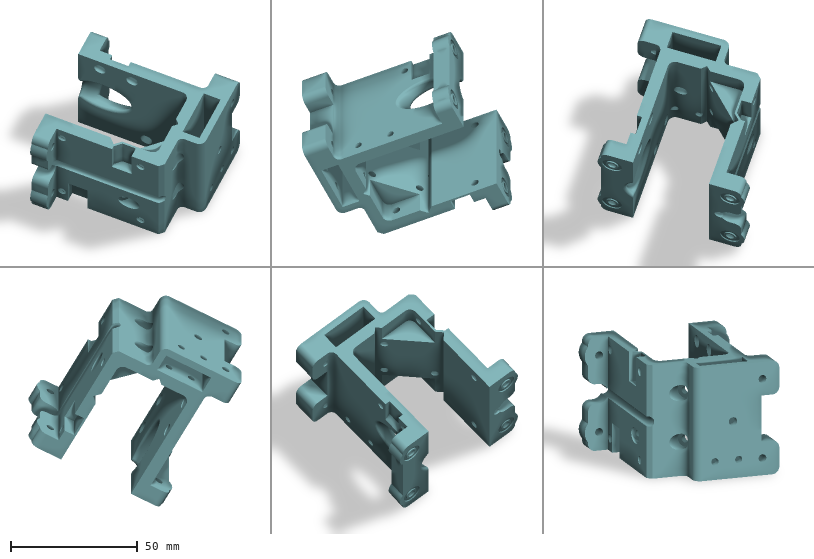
import cadquery as cq
import math


length = 63.2
height = 46.5
z_top = height / 2
wall_outer_y = 20.7
wall_inner_y = 15.75
wall_thickness = wall_outer_y - wall_inner_y
end_inner_x = 48.1
end_outer_x = 53.0
cavity_radius = 3.0
corner_chamfer = 1.9

flange_thickness = 7.0
flange_edge_y = 29.1
boss_y = 24.45
boss_z = 15.75
boss_radius = 6.0
edge_radius = 3.0
screw_diameter = 3.3
ring_inner_diameter = 5.0
ring_outer_diameter = 8.1
ring_depth = 0.5

box_low_y = -4.6
ear_y = 30.8
box_slot_low_y = -1.6
box_slot_high_y = 18.7
box_slot_end_x = 60.3
ear_fillet = 2.45
box_fillet = 2.0
ear_gap_floor_y = wall_outer_y + ear_fillet
ear_gap_half = 9.5
ear_hole_diameter = 3.2
ear_hole_y = 23.7
ear_hole_z = 16.25

seat_offset = 48.9
seat_groove_low_y = -18.25
seat_groove_high_y = 1.1
seat_bottom_z = -13.15
seat_top_z = 14.7
seat_hole_diameter = 3.2
seat_bore_diameter = 6.5
seat_hole_half_pitch = 10.0
seat_bore_start = 3.15

groove_y = -20.15
groove_radius = 2.1
slot_half_width = 4.05
slot_end_y = -24.7

pocket_width = 8.4
pocket_depth = 4.2
pocket_height = 12.1
upper_pocket_x = 31.1
upper_pocket_chamfer = 2.6
lower_pocket_x = 11.95

notch_start_x = 12.45
notch_end_x = 20.5
notch_depth = 2.15
notch_height = 12.1

front_hole_diameter = 3.2
wall_hole_x = (9.4, 43.4)
front_hole_z = (18.25, -18.0)
front_bore_diameter = 3.5
front_bore_depth = 1.25
back_hole_pitch = 13.9
back_hole_z = 18.25
back_hole_diameter = 3.0
back_bore_diameter = 5.0
back_bore_depth = 3.8

end_hole_y = 11.3
end_hole_diameter = 3.5
end_bore_diameter = 5.5
end_bore_depth = 3.8
end_pin_diameter = 3.0
end_pin_z = -15.8
end_pin_y = (3.7, 13.7)

window_diameter = 15.0
window_angle = 40.0
window_axis_y = 7.95
window_fillet = 1.0


def block(x0, x1, y0, y1, z0=-z_top, z1=z_top):
    """Axis-aligned block between two corners."""
    solid = cq.Workplane("XY").box(x1 - x0, y1 - y0, z1 - z0, centered=False)
    return solid.translate((x0, y0, z0))


def rod(start, direction, diameter, rod_length):
    """Cylinder from a start point along a direction."""
    return cq.Workplane(
        cq.Solid.makeCylinder(diameter / 2, rod_length, cq.Vector(*start), cq.Vector(*direction))
    )


def prism(points, z0=-z_top, z1=z_top):
    """Vertical prism over a polygon in XY."""
    return cq.Workplane("XY").workplane(offset=z0).polyline(points).close().extrude(z1 - z0)


def near(body, x, y, z=0.0):
    """Edge of the body nearest to a point."""
    return body.edges(cq.selectors.NearestToPointSelector((x, y, z)))


def flange(side):
    """Flange plate with two round bosses; side is +1 for the back, -1 for the front."""
    low_y, high_y = sorted((0, side * flange_edge_y))
    plate = block(0, flange_thickness, low_y, high_y)
    for z in (-z_top, z_top):
        plate = near(plate, flange_thickness / 2, side * flange_edge_y, z).fillet(edge_radius)
    for z in (-boss_z, boss_z):
        plate = plate.union(rod((0, side * boss_y, z), (1, 0, 0), 2 * boss_radius, flange_thickness))
    return plate


def flange_slot():
    """Round-ended slot from the front flange edge, with rounded mouth corners."""
    mouth_y = -flange_edge_y
    half_mouth = slot_half_width + edge_radius
    tip_y = slot_end_y + slot_half_width
    return (
        cq.Workplane("YZ")
        .moveTo(mouth_y, half_mouth)
        .radiusArc((mouth_y + edge_radius, slot_half_width), -edge_radius)
        .lineTo(slot_end_y, slot_half_width)
        .threePointArc((tip_y, 0), (slot_end_y, -slot_half_width))
        .lineTo(mouth_y + edge_radius, -slot_half_width)
        .radiusArc((mouth_y, -half_mouth), -edge_radius)
        .close()
        .extrude(flange_thickness)
    )


def tail_box():
    """Box behind the end wall, reaching past the back wall on its +Y side."""
    box = block(end_inner_x, length, box_low_y, ear_y)
    box = box.cut(block(0, end_outer_x, wall_outer_y, ear_y))
    return near(box, length, box_low_y).fillet(edge_radius)


def split_ears(solid):
    """Part the +Y side of the box into two ears with rounded corners."""
    solid = solid.cut(block(end_outer_x, length, ear_gap_floor_y, ear_y, -ear_gap_half, ear_gap_half))
    middle_x = (end_outer_x + length) / 2
    for z in (-z_top, -ear_gap_half, ear_gap_half, z_top):
        solid = near(solid, middle_x, ear_y, z).fillet(edge_radius)
    return solid


body = block(0, end_outer_x, -wall_outer_y, wall_outer_y)
body = near(body, end_outer_x, -wall_outer_y).chamfer(corner_chamfer)
body = body.union(tail_box())
body = near(body, end_outer_x, box_low_y).fillet(box_fillet)
body = near(body, end_outer_x, wall_outer_y).fillet(ear_fillet)
body = split_ears(body)
body = body.cut(block(end_outer_x, box_slot_end_x, box_slot_low_y, box_slot_high_y))
for side in (-1, 1):
    body = body.union(flange(side))

cavity = block(0, end_inner_x, -wall_inner_y, wall_inner_y)
cavity = cavity.edges("|Z and >X").fillet(cavity_radius)
body = body.cut(cavity)

seat_solid = prism([
    (seat_offset - wall_inner_y, -wall_inner_y),
    (end_inner_x, -wall_inner_y),
    (end_inner_x, end_inner_x - seat_offset),
], seat_bottom_z, seat_top_z)
body = body.union(seat_solid)
groove_low_x = seat_offset + seat_groove_low_y
groove_high_x = seat_offset + seat_groove_high_y
low_depth = -wall_inner_y - seat_groove_low_y
high_depth = groove_high_x - end_inner_x
body = body.cut(prism([
    (groove_low_x, seat_groove_low_y),
    (groove_low_x + low_depth, -wall_inner_y),
    (groove_low_x - low_depth, -wall_inner_y),
]))
body = body.cut(prism([
    (groove_high_x, seat_groove_high_y),
    (end_inner_x, seat_groove_high_y + high_depth),
    (end_inner_x, seat_groove_high_y - high_depth),
]))

body = body.cut(rod((0, groove_y, 0), (1, 0, 0), 2 * groove_radius, end_outer_x))
body = body.cut(flange_slot())

pocket_floor_y = pocket_depth - wall_outer_y
upper_pocket_end_x = upper_pocket_x + pocket_width
body = body.cut(prism([
    (upper_pocket_x, -wall_outer_y),
    (upper_pocket_end_x, -wall_outer_y),
    (upper_pocket_end_x, pocket_floor_y),
    (upper_pocket_x + upper_pocket_chamfer, pocket_floor_y),
    (upper_pocket_x, pocket_floor_y - upper_pocket_chamfer),
], z_top - pocket_height, z_top))
body = body.cut(block(
    lower_pocket_x, lower_pocket_x + pocket_width,
    -wall_outer_y, pocket_floor_y, -z_top, pocket_height - z_top,
))

notch_floor_y = wall_outer_y - notch_depth
notch_low_z = z_top - notch_height
notch = (
    cq.Workplane("YZ")
    .workplane(offset=notch_start_x)
    .polyline([
        (wall_outer_y, z_top),
        (notch_floor_y, z_top),
        (notch_floor_y, notch_low_z + notch_depth),
        (wall_outer_y, notch_low_z),
    ])
    .close()
    .extrude(notch_end_x - notch_start_x)
)
body = body.cut(notch)

angle = math.radians(window_angle)
window_direction = (math.cos(angle), math.sin(angle), 0)
window_start = (-length * math.cos(angle), window_axis_y - length * math.sin(angle), 0)
window = rod(window_start, window_direction, window_diameter, 2 * length)
window = window.intersect(block(-length, length, 0, length))
body = body.cut(window)
rim_low = (-0.65, wall_inner_y - 0.65, -window_diameter)
rim_high = (length / 2, flange_edge_y, window_diameter)
rims = cq.selectors.BoxSelector(rim_low, rim_high, boundingbox=True)
body = body.edges(rims).edges("%ELLIPSE").fillet(window_fillet)

for y in (-boss_y, boss_y):
    for z in (-boss_z, boss_z):
        ring = rod((0, y, z), (1, 0, 0), ring_outer_diameter, ring_depth)
        ring = ring.cut(rod((0, y, z), (1, 0, 0), ring_inner_diameter, ring_depth))
        body = body.cut(ring)
        body = body.cut(rod((0, y, z), (1, 0, 0), screw_diameter, flange_thickness))

for z in (-ear_hole_z, ear_hole_z):
    body = body.cut(rod((end_outer_x, ear_hole_y, z), (1, 0, 0), ear_hole_diameter, length - end_outer_x))

for x in wall_hole_x:
    for z in front_hole_z:
        start = (x, -wall_outer_y, z)
        body = body.cut(rod(start, (0, 1, 0), front_hole_diameter, wall_thickness))
        body = body.cut(rod(start, (0, 1, 0), front_bore_diameter, front_bore_depth))

first_x, last_x = wall_hole_x
for x, z in (
    (first_x, back_hole_z),
    (first_x + back_hole_pitch, back_hole_z),
    (last_x - back_hole_pitch, -back_hole_z),
    (last_x, -back_hole_z),
):
    body = body.cut(rod((x, wall_inner_y, z), (0, 1, 0), back_hole_diameter, wall_thickness))
    body = body.cut(rod((x, wall_inner_y, z), (0, 1, 0), back_bore_diameter, back_bore_depth))

end_reach = length - end_inner_x
body = body.cut(rod((end_inner_x, end_hole_y, 0), (1, 0, 0), end_hole_diameter, end_reach))
end_bore_x = end_inner_x - cavity_radius
body = body.cut(rod((end_bore_x, end_hole_y, 0), (1, 0, 0), end_bore_diameter, cavity_radius + end_bore_depth))
for y in end_pin_y:
    body = body.cut(rod((end_bore_x, y, end_pin_z), (1, 0, 0), end_pin_diameter, length - end_bore_x))

seat_direction = (1, -1, 0)
seat_mid_y = (seat_groove_low_y + seat_groove_high_y) / 2
seat_mid_z = (seat_bottom_z + seat_top_z) / 2
seat_step = seat_hole_half_pitch / math.sqrt(2)
for along, up in ((1, 1), (1, -1), (-1, -1)):
    y = seat_mid_y + along * seat_step
    z = seat_mid_z + up * seat_hole_half_pitch
    sink = seat_bore_start / math.sqrt(2)
    bore_start = (seat_offset + y + sink, y - sink, z)
    body = body.cut(rod((seat_offset + y, y, z), seat_direction, seat_hole_diameter, 2 * seat_bore_start))
    body = body.cut(rod(bore_start, seat_direction, seat_bore_diameter, wall_outer_y))

result = body